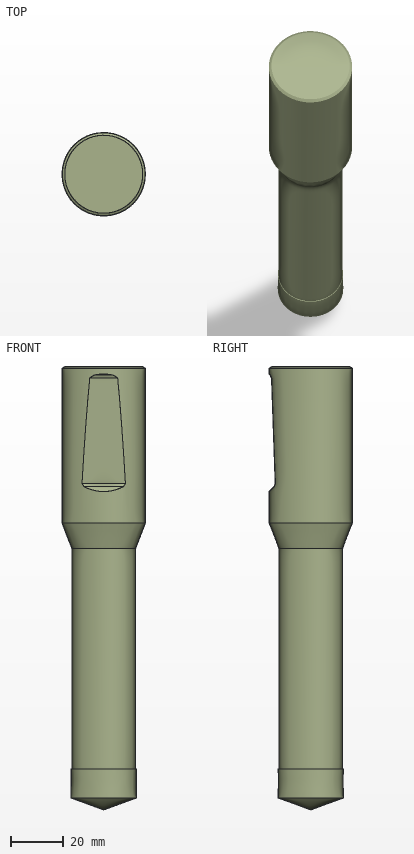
import cadquery as cq
import math

total_length = 170.0

shank_diameter = 32.0
neck_diameter = 24.5
shank_length = 60.0
taper_length = 9.7
chamfer_height = 0.7
chamfer_width = 1.0

head_front_diameter = 25.2
head_back_diameter = 25.0
head_length = 11.0
point_height = 4.6

flat_top_offset = 3.7
flat_bottom_offset = 45.5
flat_top_depth = 0.9
flat_angle = 2.0
flat_corner_bevel = 0.7
cutter_overrun = 3.4

shank_radius = shank_diameter / 2
neck_radius = neck_diameter / 2
head_top_z = point_height + head_length
shank_bottom_z = total_length - shank_length
taper_bottom_z = shank_bottom_z - taper_length


def revolved(profile):
    """Solid of revolution about Z from (radius, height) points."""
    return cq.Workplane("XZ").polyline(profile).close().revolve(360, (0, 0, 0), (0, 1, 0))


def make_flat_cutter():
    """Prism with a sloping floor, 45-degree ends and bevelled floor corners."""
    top_z = total_length - flat_top_offset
    bottom_z = total_length - flat_bottom_offset
    depth_gain = (top_z - bottom_z) * math.tan(math.radians(flat_angle))
    top_y = -shank_radius + flat_top_depth
    bottom_y = top_y + depth_gain
    outer_y = -shank_radius - cutter_overrun
    profile = [
        (top_y, top_z),
        (bottom_y, bottom_z),
        (outer_y, bottom_z - (bottom_y - outer_y)),
        (outer_y, top_z + (top_y - outer_y)),
    ]
    cutter = cq.Workplane("YZ").polyline(profile).close().extrude(shank_radius, both=True)
    return cutter.edges("|X").edges(cq.selectors.BoxSelector(
        (-shank_radius, -shank_radius, 0), (shank_radius, 0, total_length)
    )).chamfer(flat_corner_bevel)


def make_holder():
    """Shank, taper and neck, with the clamping flat cut in."""
    body = revolved([
        (0, head_top_z),
        (neck_radius, head_top_z),
        (neck_radius, taper_bottom_z),
        (shank_radius, shank_bottom_z),
        (shank_radius, total_length - chamfer_height),
        (shank_radius - chamfer_width, total_length),
        (0, total_length),
    ])
    return body.cut(make_flat_cutter())


def make_cutting_head():
    """Back-tapered head with a conical point, seated on the end of the neck."""
    return revolved([
        (0, 0),
        (head_front_diameter / 2, point_height),
        (head_back_diameter / 2, head_top_z),
        (0, head_top_z),
    ])


holder = make_holder()
cutting_head = make_cutting_head()

result = cq.Compound.makeCompound([holder.val(), cutting_head.val()])